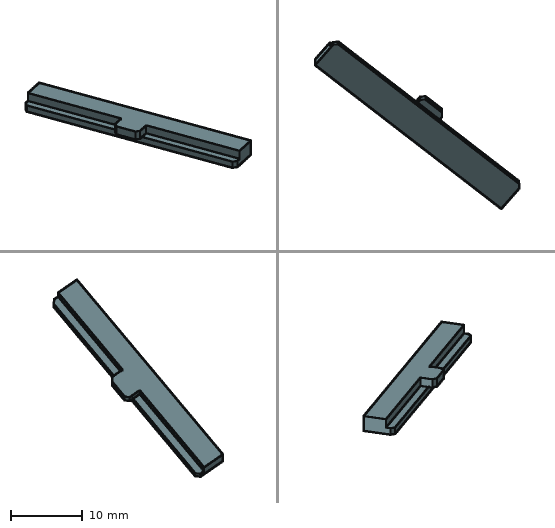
import cadquery as cq

length = 34.0
height = 2.3
bar_depth = 3.33

ledge_depth = 4.52
ledge_height = 1.02

nose_depth = 5.6
nose_width = 4.0

corner_chamfer = 0.5


def block(width, depth, bottom, top):
    """Box centred in X, with its back face on Y = 0 and extending toward -Y."""
    return (
        cq.Workplane("XY")
        .box(width, depth, top - bottom, centered=(True, False, False))
        .translate((0, -depth, bottom))
    )


def chamfer_front_corners(body):
    """Bevel the two vertical edges at the front of a block."""
    return body.faces("<Y").edges("|Z").chamfer(corner_chamfer)


bar = block(length, bar_depth, 0, height)
ledge = chamfer_front_corners(block(length, ledge_depth, 0, ledge_height))
nose = chamfer_front_corners(block(nose_width, nose_depth, ledge_height, height))

result = bar.union(ledge).union(nose)